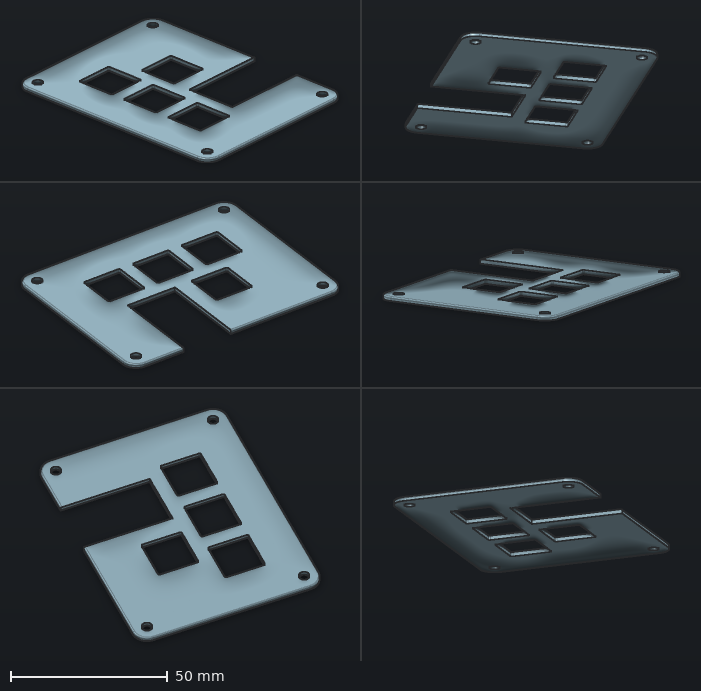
import cadquery as cq

LENGTH = 82.9
WIDTH = 64.7
THICKNESS = 1.5
CORNER_RADIUS = 5.0
RIM_RADIUS = 0.5

HOLE_DIAMETER = 3.4
HOLE_SPACING_X = LENGTH - 2 * CORNER_RADIUS
HOLE_SPACING_Y = WIDTH - 2 * CORNER_RADIUS

KEY_SIZE = 14.0
KEY_CORNER_RADIUS = 0.5
KEY_PITCH = 19.1
MIDDLE_KEY_X = -1.1
KEY_ROW_Y = -10.95
KEY_CENTERS = [(MIDDLE_KEY_X + step * KEY_PITCH, KEY_ROW_Y) for step in (-1, 0, 1)]
KEY_CENTERS.append((MIDDLE_KEY_X - KEY_PITCH / 2, KEY_ROW_Y + KEY_PITCH))

NOTCH_WIDTH = 18.4
NOTCH_DEPTH = 31.0
NOTCH_CENTER_X = 12.1


def rounded_block(length, width, corner_radius):
    """Plate-thick block with its base at Z = 0 and rounded vertical edges."""
    block = cq.Workplane("XY").box(length, width, THICKNESS, centered=(True, True, False))
    return block.edges("|Z").fillet(corner_radius)


def make_plate():
    """Rounded plate with its top rim rounded over."""
    return rounded_block(LENGTH, WIDTH, CORNER_RADIUS).faces(">Z").edges().fillet(RIM_RADIUS)


def make_screw_holes():
    """Cutters for the four corner holes."""
    return (
        cq.Workplane("XY")
        .rect(HOLE_SPACING_X, HOLE_SPACING_Y, forConstruction=True)
        .vertices()
        .circle(HOLE_DIAMETER / 2)
        .extrude(THICKNESS)
    )


def make_notch():
    """Cutter for the notch; the rounded rim stops at its sharp sides."""
    notch_center_y = WIDTH / 2 - NOTCH_DEPTH / 2
    return (
        cq.Workplane("XY")
        .center(NOTCH_CENTER_X, notch_center_y)
        .rect(NOTCH_WIDTH, NOTCH_DEPTH)
        .extrude(THICKNESS)
    )


result = make_plate().cut(make_screw_holes()).cut(make_notch())

key_opening = rounded_block(KEY_SIZE, KEY_SIZE, KEY_CORNER_RADIUS)
for key_x, key_y in KEY_CENTERS:
    result = result.cut(key_opening.translate((key_x, key_y, 0)))